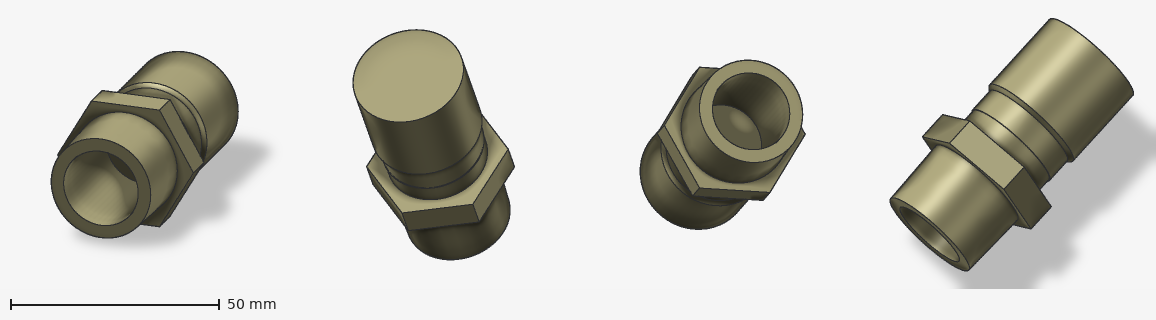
import cadquery as cq
import math

total_length = 58.5
taper_length = 17.0
hex_length = 7.4
neck_length = 5.05
collar_length = 6.4
chamfer_length = 1.0

taper_end_diameter = 25.4
taper_root_diameter = 26.45
neck_diameter = 24.5
collar_diameter = 25.0
tube_diameter = 27.0
bore_diameter = 19.0

hex_across_flats = 30.0
hex_across_corners = hex_across_flats / math.cos(math.pi / 6)

hex_start = taper_length
neck_start = hex_start + hex_length
collar_start = neck_start + neck_length
chamfer_start = collar_start + collar_length
tube_start = chamfer_start + chamfer_length

bore_depth = collar_start


def turned_body():
    """Revolve the stepped outer profile about the Y axis."""
    profile = [
        (0, 0),
        (taper_end_diameter / 2, 0),
        (taper_root_diameter / 2, hex_start),
        (neck_diameter / 2, hex_start),
        (neck_diameter / 2, collar_start),
        (collar_diameter / 2, collar_start),
        (collar_diameter / 2, chamfer_start),
        (tube_diameter / 2, tube_start),
        (tube_diameter / 2, total_length),
        (0, total_length),
    ]
    return cq.Workplane("XY").polyline(profile).close().revolve(360, (0, 0), (0, 1))


def along_y(start):
    """Workplane at a station on Y, facing +Y."""
    return cq.Workplane(cq.Plane(origin=(0, start, 0), xDir=(1, 0, 0), normal=(0, 1, 0)))


hex_nut = along_y(hex_start).polygon(6, hex_across_corners).extrude(hex_length)
bore = along_y(0).circle(bore_diameter / 2).extrude(bore_depth)

result = turned_body().union(hex_nut).cut(bore)